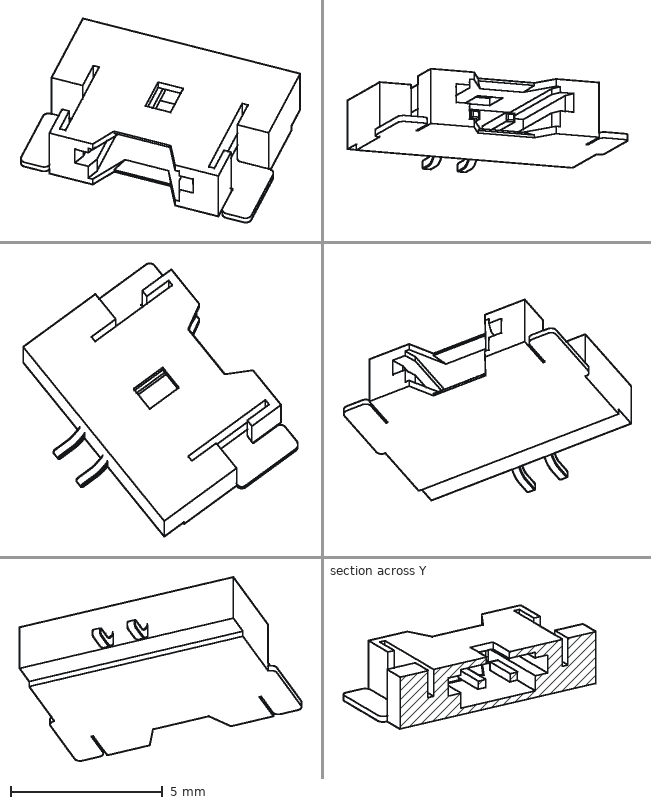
import cadquery as cq
import math

overall_width = 8.07
body_width = 7.62
body_depth = 5.5
body_height = 1.85
nose_width = 5.92
nose_depth = 2.5
heel_depth = 0.82
heel_rise = 0.2

floor_z = 0.25
ceiling_z = 1.6
cavity_half_width = 1.445
cavity_depth = 4.28
keyway_half_width = 1.92
keyway_bottom_z = 0.78
keyway_top_z = 1.405
mouth_flare = 0.15
mouth_flare_depth = 0.41

notch_half_width = 0.99
notch_depth = 0.815
lead_in_depth = 0.42
lead_in_height = 0.16

window_width = 0.88
window_front = 2.3
window_back = 3.51

plate_thickness = 0.2
plate_inner_x = 2.51
plate_top_z = 0.895
slot_front = 0.31
slot_back = 3.51
recess_front = 1.21
tab_front = 0.025
tab_clearance = 0.065
tab_corner_radius = 0.2
bend_radius = 0.1

pin_pitch = 1.235
pin_size = 0.3
pin_axis_z = 0.91
pin_tip_y = 2.0
pin_tail_y = 6.6
pin_tail_z = -0.011
pin_bend_y = 6.01
pin_bend_radius = 0.28
pin_tip_chamfer = 0.06
pin_tail_radius = 0.1
pin_edge_chamfer = 0.025


def box(x0, x1, y0, y1, z0, z1):
    return cq.Workplane("XY").box(x1 - x0, y1 - y0, z1 - z0, centered=False).translate((x0, y0, z0))


def both_sides(half):
    """The shape joined with its mirror image on the other side of X = 0."""
    return half.union(half.mirror("YZ"))


def housing():
    nose = box(-nose_width / 2, nose_width / 2, 0, nose_depth, 0, body_height)
    block = box(-body_width / 2, body_width / 2, nose_depth, body_depth, 0, body_height)
    heel = box(-body_width / 2, body_width / 2, body_depth - heel_depth, body_depth, 0, heel_rise)
    return nose.union(block).cut(heel)


def flared_channel(half_width, bottom_z, top_z):
    """Straight channel from the front face whose side walls flare out at the mouth."""
    mouth_half_width = half_width + mouth_flare
    outline = [
        (-mouth_half_width, 0),
        (-half_width, mouth_flare_depth),
        (-half_width, cavity_depth),
        (half_width, cavity_depth),
        (half_width, mouth_flare_depth),
        (mouth_half_width, 0),
    ]
    return cq.Workplane("XY", origin=(0, 0, bottom_z)).polyline(outline).close().extrude(top_z - bottom_z)


def finger_notch():
    """Tapering notch whose back edges slope into the cavity along the same slanted sides."""
    side_slope = (cavity_half_width - notch_half_width) / notch_depth
    lead_in_end = notch_depth + lead_in_depth
    end_half_width = cavity_half_width - side_slope * lead_in_end
    taper = (
        cq.Workplane("XY")
        .polyline([
            (-cavity_half_width, 0),
            (-end_half_width, lead_in_end),
            (end_half_width, lead_in_end),
            (cavity_half_width, 0),
        ])
        .close()
        .extrude(body_height)
    )
    section = (
        cq.Workplane("YZ")
        .polyline([
            (0, 0),
            (notch_depth, 0),
            (notch_depth, floor_z - lead_in_height),
            (lead_in_end, floor_z),
            (lead_in_end, ceiling_z),
            (notch_depth, ceiling_z + lead_in_height),
            (notch_depth, body_height),
            (0, body_height),
        ])
        .close()
        .extrude(cavity_half_width, both=True)
    )
    return taper.intersect(section)


def clip_opening():
    """Slot above the clip plate and the side recess that lets the tab out."""
    plate_outer_x = plate_inner_x + plate_thickness
    slot = box(plate_inner_x, plate_outer_x, slot_front, slot_back, plate_top_z, body_height)
    recess = box(plate_outer_x, nose_width / 2, recess_front, nose_depth, 0, body_height)
    return both_sides(slot.union(recess))


def clip_tab():
    """Flat tab beside the nose, with a neck and an inside bend up to the plate."""
    plate_outer_x = plate_inner_x + plate_thickness
    tab_inner_x = nose_width / 2 + tab_clearance
    tab_outer_x = overall_width / 2
    neck = box(plate_outer_x, tab_inner_x, recess_front, nose_depth, 0, plate_thickness)
    tab = box(tab_inner_x, tab_outer_x, tab_front, nose_depth, 0, plate_thickness)
    tab = tab.edges("|Z and (>X or <Y)").fillet(tab_corner_radius)
    bend = (
        cq.Workplane("XZ", origin=(0, recess_front, 0))
        .moveTo(plate_outer_x, plate_thickness)
        .lineTo(plate_outer_x + bend_radius, plate_thickness)
        .radiusArc((plate_outer_x, plate_thickness + bend_radius), bend_radius)
        .close()
        .extrude(recess_front - nose_depth)
    )
    return both_sides(tab.union(neck).union(bend))


def pin():
    """Square pin centred on X = 0.

    A straight tip meets a riser flush with the back of the housing; below it the
    pin drops away at 45 degrees to a flat tail.
    """
    half = pin_size / 2
    axis_radius = pin_bend_radius + half
    bend_angle = math.radians(45)
    lower_center_y = pin_bend_y
    lower_center_z = pin_tail_z + half + axis_radius
    upper_center_y = body_depth + pin_bend_radius
    upper_center_z = lower_center_z + lower_center_y - upper_center_y

    def on_bend(center_y, center_z, angle):
        """Point on the pin axis, turned by the angle from straight below the bend centre."""
        return (center_y - axis_radius * math.sin(angle), center_z - axis_radius * math.cos(angle))

    riser_y = upper_center_y - axis_radius
    riser_top_z = pin_axis_z + half
    axis = (
        cq.Workplane("YZ")
        .moveTo(riser_y, riser_top_z)
        .lineTo(riser_y, upper_center_z)
        .threePointArc(
            on_bend(upper_center_y, upper_center_z, 1.5 * bend_angle),
            on_bend(upper_center_y, upper_center_z, bend_angle),
        )
        .lineTo(*on_bend(lower_center_y, lower_center_z, bend_angle))
        .threePointArc(
            on_bend(lower_center_y, lower_center_z, bend_angle / 2),
            on_bend(lower_center_y, lower_center_z, 0),
        )
        .lineTo(pin_tail_y, pin_tail_z + half)
    )
    tail = cq.Workplane("XY", origin=(0, riser_y, riser_top_z)).rect(pin_size, pin_size).sweep(axis)
    tail = tail.faces(">Y").edges("|X").fillet(pin_tail_radius)
    tail = tail.faces("<X or >X").edges("not >Z").chamfer(pin_edge_chamfer)

    tip = box(-half, half, pin_tip_y, riser_y, pin_axis_z - half, riser_top_z)
    tip = tip.faces("<Y").chamfer(pin_tip_chamfer)
    return tip.union(tail)


result = (
    housing()
    .cut(flared_channel(cavity_half_width, floor_z, ceiling_z))
    .cut(flared_channel(keyway_half_width, keyway_bottom_z, keyway_top_z))
    .cut(finger_notch())
    .cut(box(-window_width / 2, window_width / 2, window_front, window_back, ceiling_z, body_height))
    .cut(clip_opening())
    .union(clip_tab())
    .union(both_sides(pin().translate((pin_pitch / 2, 0, 0))))
)